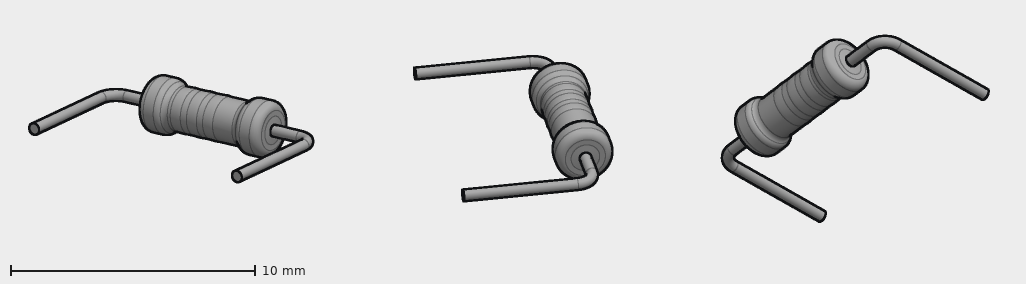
import cadquery as cq
import math

overall_width = 10.66
overall_depth = 6.7
cap_diameter = 2.4

body_length = 6.03
barrel_diameter = 1.92
cap_edge_radius = 0.36
cap_flat_length = 0.5
neck_length = 0.53
end_dome_radius = 0.6
end_dome_height = 0.03

band_count = 3
band_width = 0.5
band_pitch = 0.81
band_rise = 0.02
first_band_offset = 1.55

lead_diameter = 0.5
bend_radius = 0.75

half_body = body_length / 2
cap_radius = cap_diameter / 2
barrel_radius = barrel_diameter / 2
lead_radius = lead_diameter / 2
leg_x = overall_width / 2 - lead_radius
leg_end_y = cap_radius - overall_depth


def make_capped_barrel():
    """Revolve the barrel, its flared necks and its rounded caps about X."""
    face_radius = cap_radius - cap_edge_radius
    flat_outer_x = half_body - cap_edge_radius
    flat_inner_x = flat_outer_x - cap_flat_length
    neck_mid_x = flat_inner_x - neck_length / 2
    neck_mid_radius = (cap_radius + barrel_radius) / 2
    barrel_end_x = flat_inner_x - neck_length

    return (
        cq.Workplane("XY")
        .moveTo(-half_body, 0)
        .lineTo(-half_body, face_radius)
        .tangentArcPoint((-flat_outer_x, cap_radius), relative=False)
        .lineTo(-flat_inner_x, cap_radius)
        .tangentArcPoint((-neck_mid_x, neck_mid_radius), relative=False)
        .tangentArcPoint((-barrel_end_x, barrel_radius), relative=False)
        .lineTo(barrel_end_x, barrel_radius)
        .tangentArcPoint((neck_mid_x, neck_mid_radius), relative=False)
        .tangentArcPoint((flat_inner_x, cap_radius), relative=False)
        .lineTo(flat_outer_x, cap_radius)
        .tangentArcPoint((half_body, face_radius), relative=False)
        .lineTo(half_body, 0)
        .close()
        .revolve(360, (0, 0), (1, 0))
    )


def make_end_dome():
    """Shallow spherical swelling on the right end face."""
    sphere_radius = (end_dome_radius**2 + end_dome_height**2) / (2 * end_dome_height)
    return (
        cq.Workplane("XY")
        .moveTo(half_body, 0)
        .lineTo(half_body, end_dome_radius)
        .radiusArc((half_body + end_dome_height, 0), sphere_radius)
        .close()
        .revolve(360, (0, 0), (1, 0))
    )


def make_band(start):
    """Ring with a gently bulged surface, beginning at X = start."""
    end = start + band_width
    middle = (start + end) / 2
    return (
        cq.Workplane("XY")
        .moveTo(start, 0)
        .lineTo(start, barrel_radius)
        .threePointArc((middle, barrel_radius + band_rise), (end, barrel_radius))
        .lineTo(end, 0)
        .close()
        .revolve(360, (0, 0), (1, 0))
    )


def make_lead():
    """Right wire: out along X from inside the body, then bent toward -Y."""
    bend_start_x = leg_x - bend_radius
    bend_mid_offset = bend_radius * math.sqrt(0.5)
    bend_mid = (bend_start_x + bend_mid_offset, bend_mid_offset - bend_radius)
    root_x = half_body - cap_edge_radius
    path = (
        cq.Workplane("XY")
        .moveTo(root_x, 0)
        .lineTo(bend_start_x, 0)
        .threePointArc(bend_mid, (leg_x, -bend_radius))
        .lineTo(leg_x, leg_end_y)
    )
    return cq.Workplane("YZ", origin=(root_x, 0, 0)).circle(lead_radius).sweep(path)


result = make_capped_barrel()
for index in range(band_count):
    result = result.union(make_band(-half_body + first_band_offset + index * band_pitch))
for end_feature in (make_end_dome(), make_lead()):
    result = result.union(end_feature).union(end_feature.mirror("YZ"))